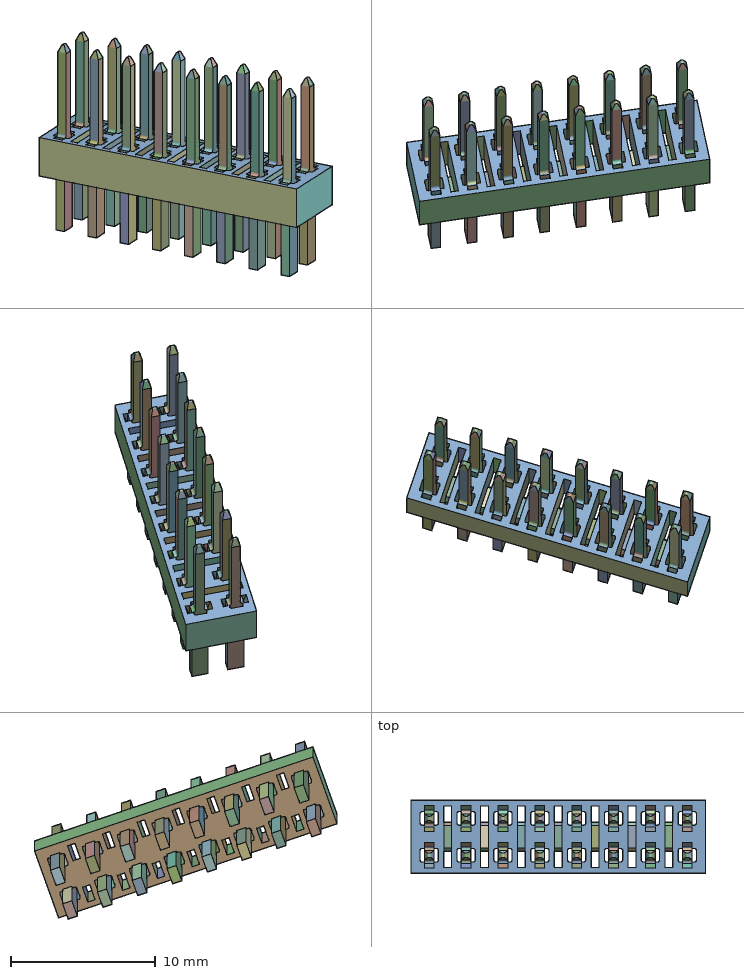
import cadquery as cq
import math

pin_columns = 8
pin_pitch = 2.55
pin_row_ys = (-pin_pitch / 2, pin_pitch / 2)

body_length = pin_columns * pin_pitch
body_width = 5.04
body_height = 2.85

pin_thickness = 0.67
post_width = 0.63
tail_width = 1.15
tail_length = 4.02
post_height = 6.73
shoulder_z = body_height
shoulder_fillet = 0.18

tip_height = 0.55
tip_width = 0.28
nose_radius = 0.12

hole_length = 1.24
hole_width = 0.91
hole_corner_radius = 0.12
lead_in_width = 1.79
lead_in_depth = 1.04

slot_thickness = 0.53
slot_length = 4.23
bridge_top_width = 1.52
bridge_base_width = 2.01
bridge_height = 0.49

pin_xs = [(i - (pin_columns - 1) / 2) * pin_pitch for i in range(pin_columns)]
slot_xs = [(left + right) / 2 for left, right in zip(pin_xs, pin_xs[1:])]
pin_places = [(x, y) for x in pin_xs for y in pin_row_ys]
pin_top_z = body_height + post_height
tip_base_z = pin_top_z - tip_height


def extrude_along_x(yz_sketch, thickness):
    """Extrude a YZ profile symmetrically about x = 0."""
    return yz_sketch.extrude(thickness / 2, both=True)


def make_pin_side_solid():
    """Pin seen along X: wide tail, filleted shoulder, narrow post and tapered tip."""
    tail_y = tail_width / 2
    post_y = post_width / 2
    fillet_y = post_y + shoulder_fillet
    fillet_top_z = shoulder_z + shoulder_fillet
    fillet_mid = shoulder_fillet * (1 - math.sqrt(0.5))
    half_outline = (
        cq.Workplane("YZ")
        .moveTo(0, -tail_length)
        .lineTo(tail_y, -tail_length)
        .lineTo(tail_y, shoulder_z)
        .lineTo(fillet_y, shoulder_z)
        .threePointArc((post_y + fillet_mid, shoulder_z + fillet_mid), (post_y, fillet_top_z))
        .lineTo(post_y, tip_base_z)
        .lineTo(tip_width / 2, pin_top_z)
        .lineTo(0, pin_top_z)
        .close()
    )
    half = extrude_along_x(half_outline, pin_thickness)
    return half.union(half.mirror("XZ"))


def make_pin_front_solid():
    """Pin seen along Y: straight sides ending in a wedge tangent to a round nose."""
    half_thickness = pin_thickness / 2
    nose_center_z = pin_top_z - nose_radius
    center_rise = nose_center_z - tip_base_z
    center_distance = math.hypot(half_thickness, center_rise)
    corner_angle = math.atan2(center_rise, half_thickness)
    tangent_angle = math.acos(nose_radius / center_distance) - corner_angle
    tangent_x = nose_radius * math.cos(tangent_angle)
    tangent_z = nose_center_z + nose_radius * math.sin(tangent_angle)
    return (
        cq.Workplane("XZ")
        .moveTo(-half_thickness, -tail_length)
        .lineTo(half_thickness, -tail_length)
        .lineTo(half_thickness, tip_base_z)
        .lineTo(tangent_x, tangent_z)
        .threePointArc((0, pin_top_z), (-tangent_x, tangent_z))
        .lineTo(-half_thickness, tip_base_z)
        .close()
        .extrude(tail_width, both=True)
    )


def make_pin():
    return make_pin_side_solid().intersect(make_pin_front_solid())


def make_pin_opening():
    """Through hole around the pin plus a tapered lead-in slot across it."""
    hole = (
        cq.Workplane("XY")
        .rect(hole_length, hole_width)
        .extrude(body_height)
        .edges("|Z")
        .fillet(hole_corner_radius)
    )
    lead_in_bottom_z = body_height - lead_in_depth
    lead_in_outline = cq.Workplane("YZ").polyline([
        (-lead_in_width / 2, body_height),
        (-tail_width / 2, lead_in_bottom_z),
        (tail_width / 2, lead_in_bottom_z),
        (lead_in_width / 2, body_height),
    ]).close()
    return hole.union(extrude_along_x(lead_in_outline, pin_thickness))


def make_slot():
    """Through slot that leaves a trapezoidal bridge at the bottom of the housing."""
    slot = cq.Workplane("XY").box(slot_thickness, slot_length, body_height, centered=(True, True, False))
    bridge_outline = cq.Workplane("YZ").polyline([
        (-bridge_base_width / 2, 0),
        (-bridge_top_width / 2, bridge_height),
        (bridge_top_width / 2, bridge_height),
        (bridge_base_width / 2, 0),
    ]).close()
    return slot.cut(extrude_along_x(bridge_outline, slot_thickness))


def place_copies(shape, places):
    """Copies of a shape at each (x, y) place, gathered in one workplane."""
    solid = shape.val()
    return cq.Workplane("XY").pushPoints(places).eachpoint(lambda place: solid.moved(place))


body = cq.Workplane("XY").box(body_length, body_width, body_height, centered=(True, True, False))
body = body.cut(place_copies(make_pin_opening(), pin_places))
for slot_x in slot_xs:
    body = body.cut(make_slot().translate((slot_x, 0, 0)))

result = body.union(place_copies(make_pin(), pin_places))